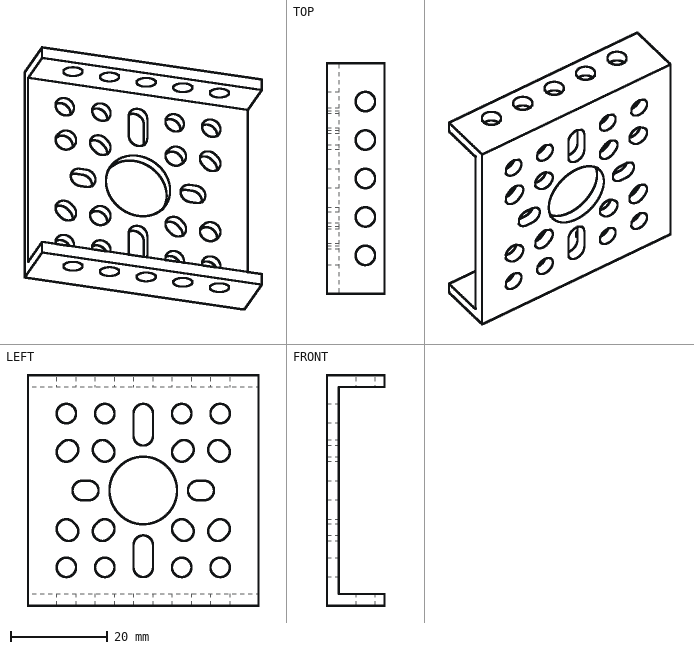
import cadquery as cq

side = 48.0
depth = 12.0
wall = 2.5

pitch = side / 6
hole_diameter = pitch / 2
outer_row = 2 * pitch

bore_diameter = 14.0
upright_slot_length = 8.65
upright_slot_center = outer_row + (hole_diameter - upright_slot_length) / 2
level_slot_length = 5.4
level_slot_center = side / 4
diagonal_travel = 0.5

flange_hole_x = depth * 2 / 3
flange_hole_columns = (-outer_row, -pitch, 0, pitch, outer_row)


def make_channel():
    """C-shaped profile, open toward +X, with its web face at X = 0."""
    block = cq.Workplane("XY").box(depth, side, side, centered=(False, True, True))
    inside = (
        cq.Workplane("XY")
        .box(depth - wall, side, side - 2 * wall, centered=(False, True, True))
        .translate((wall, 0, 0))
    )
    return block.cut(inside)


def web_plane():
    """Sketch plane on the web face: local x is Y, local y is Z, normal +X."""
    return cq.Workplane("YZ")


def round_web_cutter():
    """Central bore and the round holes of the top and bottom rows."""
    bore = web_plane().circle(bore_diameter / 2).extrude(wall)
    corners = [
        (y, z)
        for y in (-outer_row, -pitch, pitch, outer_row)
        for z in (-outer_row, outer_row)
    ]
    holes = web_plane().pushPoints(corners).circle(hole_diameter / 2).extrude(wall)
    return bore.union(holes)


def straight_slot_cutter():
    """Two upright slots and two level slots around the bore."""
    upright = (
        web_plane()
        .pushPoints([(0, -upright_slot_center), (0, upright_slot_center)])
        .slot2D(upright_slot_length, hole_diameter, 90)
        .extrude(wall)
    )
    level = (
        web_plane()
        .pushPoints([(-level_slot_center, 0), (level_slot_center, 0)])
        .slot2D(level_slot_length, hole_diameter)
        .extrude(wall)
    )
    return upright.union(level)


def diagonal_slot_cutter():
    """Short 45 degree slots that start on the grid and lean between its columns."""
    length = hole_diameter + diagonal_travel * 2 ** 0.5
    offset = diagonal_travel / 2
    inner_y = pitch + offset
    outer_y = outer_row - offset
    z = pitch + offset
    rising = [(inner_y, z), (-outer_y, z), (-inner_y, -z), (outer_y, -z)]
    falling = [(-y, z) for y, z in rising]
    cutter = web_plane().pushPoints(rising).slot2D(length, hole_diameter, 45).extrude(wall)
    return cutter.union(
        web_plane().pushPoints(falling).slot2D(length, hole_diameter, -45).extrude(wall)
    )


def flange_hole_cutter():
    """A row of holes running down through both flanges."""
    return (
        cq.Workplane("XY", origin=(0, 0, -side / 2))
        .pushPoints([(flange_hole_x, y) for y in flange_hole_columns])
        .circle(hole_diameter / 2)
        .extrude(side)
    )


result = (
    make_channel()
    .cut(round_web_cutter())
    .cut(straight_slot_cutter())
    .cut(diagonal_slot_cutter())
    .cut(flange_hole_cutter())
)